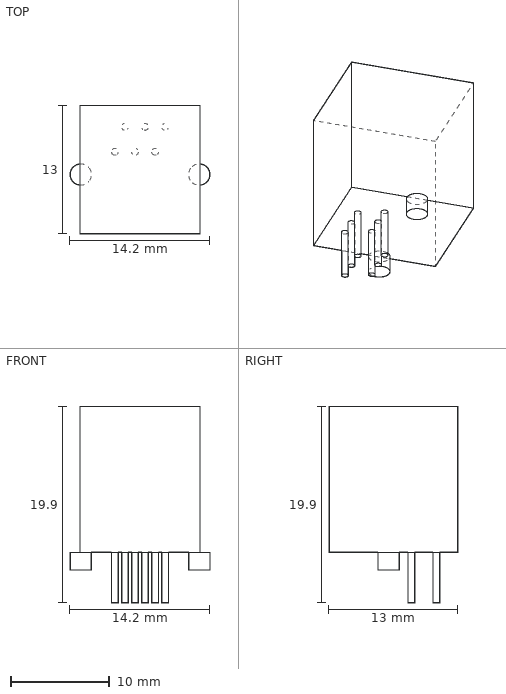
import cadquery as cq

total_height = 19.85
pin_length = 5.1

housing_width = 12.17
housing_depth = 13.0
housing_height = total_height - pin_length

peg_diameter = 2.16
peg_length = 1.79
peg_span = 14.15
peg_x = (peg_span - peg_diameter) / 2
peg_y = -0.5

pin_diameter = 0.7
pin_count = 6
pin_span = 5.08
pin_pitch = pin_span / (pin_count - 1)
front_row_y = 1.8
row_spacing = 2.52
back_row_y = front_row_y + row_spacing


def make_housing():
    """Plain rectangular block standing on Z = 0."""
    return cq.Workplane("XY").box(
        housing_width, housing_depth, housing_height, centered=(True, True, False)
    )


def make_post(x, y, diameter, length):
    """Round post hanging down from the housing underside."""
    return cq.Workplane("XY").center(x, y).circle(diameter / 2).extrude(-length)


def make_pegs():
    """One locating peg on each side."""
    return [make_post(side * peg_x, peg_y, peg_diameter, peg_length) for side in (-1, 1)]


def make_pins():
    """Evenly pitched pins, starting in the front row at the -X end."""
    pins = []
    for index in range(pin_count):
        x = (index - (pin_count - 1) / 2) * pin_pitch
        y = front_row_y if index % 2 == 0 else back_row_y
        pins.append(make_post(x, y, pin_diameter, pin_length))
    return pins


housing = make_housing()
pegs = make_pegs()
pins = make_pins()

result = cq.Compound.makeCompound(
    [housing.val(), *[peg.val() for peg in pegs], *[pin.val() for pin in pins]]
)